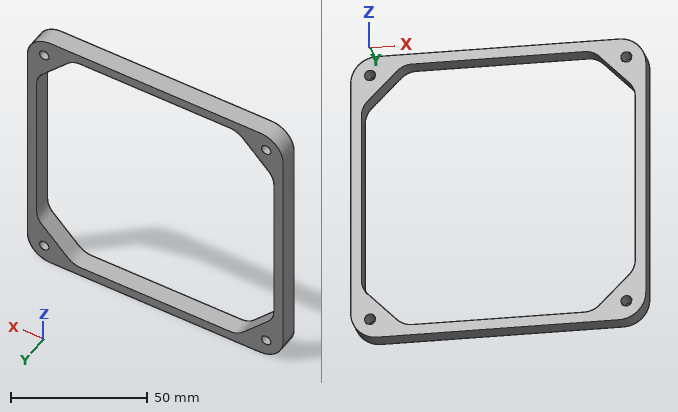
import cadquery as cq

frame_side = 110.43
frame_thickness = 7.7
outer_corner_radius = 10.0

wall_thickness = 4.0
opening_side = frame_side - 2 * wall_thickness
opening_corner_leg = 15.72
opening_corner_radius = 8.0

hole_diameter = 4.02
hole_spacing = 95.9


def make_plate():
    """Square plate with rounded corners, centred on the origin."""
    plate = cq.Workplane("XZ").rect(frame_side, frame_side).extrude(frame_thickness / 2, both=True)
    return plate.edges("|Y").fillet(outer_corner_radius)


def make_opening():
    """Solid that fills the central opening through the full thickness."""
    opening = cq.Workplane("XZ").rect(opening_side, opening_side).extrude(frame_thickness / 2, both=True)
    opening = opening.edges("|Y").chamfer(opening_corner_leg)
    return opening.edges("|Y").fillet(opening_corner_radius)


def make_mounting_holes():
    """Four through-hole cylinders on a square pattern."""
    hole_pattern = cq.Workplane("XZ").rect(hole_spacing, hole_spacing, forConstruction=True).vertices()
    return hole_pattern.circle(hole_diameter / 2).extrude(frame_thickness / 2, both=True)


result = make_plate().cut(make_opening()).cut(make_mounting_holes())